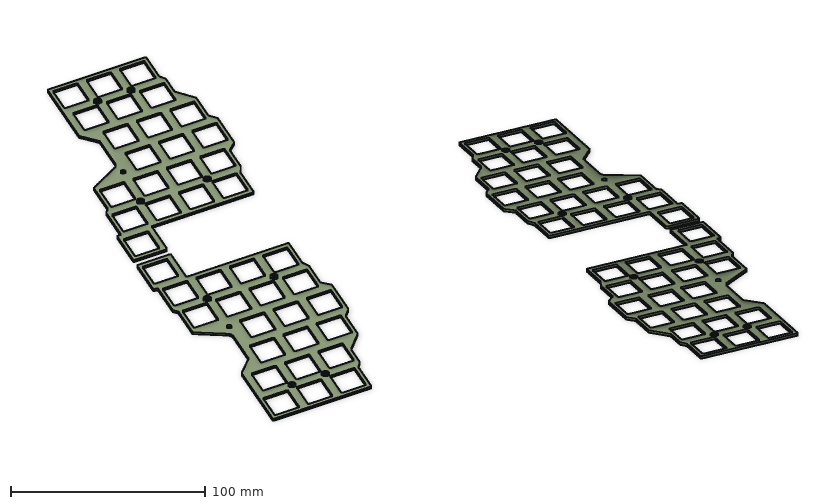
import cadquery as cq

overall_width = 269.2
overall_depth = 84.3
thickness = 1.5
halves_gap = 4.0

cutout_size = 14.0
corner_radius = 0.5
column_span = 114.1
columns = 6
key_pitch = column_span / columns
side_margin = 2.2
edge_margin = 2.05

column_rows = [3, 3, 3, 3, 4, 4]
second_column_drop = 11.5
outer_column_step = 2.3
column_drop = [second_column_drop + outer_column_step, second_column_drop, 3.5, 0.0, 4.5, 6.7]

back_slopes = [(-118.7, -115.8), (-105.3, -96.5), (-81.8, -78.0), (-58.1, -54.0), (-40.6, -37.0)]
inner_side_x = -20.7
thumb_back_y = -23.0
thumb_step_x = -21.8
front_slope = (-39.8, -42.0)
notch_y = -20.0
notch_inner_foot_x = -59.0
notch_bend = (-68.0, -21.0)
notch_inner_x = -70.0
notch_outer_x = -88.8
notch_outer_foot_x = -97.0

screw_head_diameter = 4.0
screw_hole_diameter = 2.0
screw_head_depth = thickness / 2
screw_places = [(0, 0), (0, 1), (4, 0), (4, 2)]
plain_hole_diameter = 2.6
plain_hole_centre = (-63.3, -18.8)

outer_x = -overall_width / 2
inner_x = -halves_gap / 2
back_y = overall_depth / 2
front_y = -overall_depth / 2

cutout_to_border = cutout_size / 2 + edge_margin
first_column_x = outer_x + side_margin + cutout_size / 2
column_x = [first_column_x + index * key_pitch for index in range(columns)]
column_y = [back_y - cutout_to_border - drop for drop in column_drop]
thumb_key = (first_column_x + column_span, front_y + cutout_to_border)

column_back = [y + cutout_to_border for y in column_y]
column_front = [
    y - (rows - 1) * key_pitch - cutout_to_border for y, rows in zip(column_y, column_rows)
]


def back_edge():
    """Back border from the outer side inwards, one slope between each pair of columns."""
    points = [(outer_x, column_back[0])]
    for index, (start_x, end_x) in enumerate(back_slopes):
        points.append((start_x, column_back[index]))
        points.append((end_x, column_back[index + 1]))
    points.append((inner_side_x, column_back[-1]))
    return points


def thumb_edge():
    """Border around the thumb key, from the back to the front."""
    return [
        (inner_side_x, thumb_back_y),
        (inner_x, thumb_back_y),
        (inner_x, front_y),
        (thumb_step_x, front_y),
    ]


def front_edge():
    """Front border from the thumb key outwards, including the notch."""
    return [
        (thumb_step_x, column_front[5]),
        (front_slope[0], column_front[5]),
        (front_slope[1], column_front[4]),
        (notch_inner_foot_x, column_front[4]),
        notch_bend,
        (notch_inner_x, notch_y),
        (notch_outer_x, notch_y),
        (notch_outer_foot_x, column_front[0]),
        (outer_x, column_front[0]),
    ]


def blank_plate():
    border = back_edge() + thumb_edge() + front_edge()
    plate = cq.Workplane("XY").polyline(border).close().extrude(thickness)
    return plate.edges("|Z").fillet(corner_radius)


def key_centres():
    centres = [thumb_key]
    for x, back_key_y, rows in zip(column_x, column_y, column_rows):
        centres += [(x, back_key_y - row * key_pitch) for row in range(rows)]
    return centres


def key_cutouts():
    blocks = (
        cq.Workplane("XY")
        .pushPoints(key_centres())
        .rect(cutout_size, cutout_size)
        .extrude(thickness)
    )
    return blocks.edges("|Z").fillet(corner_radius)


def screw_centre(column, row):
    """Midpoint between four keys: this column and the next, this row and the next."""
    x = (column_x[column] + column_x[column + 1]) / 2
    y = (column_y[column] + column_y[column + 1]) / 2 - (row + 0.5) * key_pitch
    return (x, y)


def half_plate():
    """Left half of the switch plate with its key cutouts and mounting holes."""
    plate = blank_plate().cut(key_cutouts())
    top = cq.Workplane("XY", origin=(0, 0, thickness))
    screw_centres = [screw_centre(column, row) for column, row in screw_places]
    plate = (
        plate.copyWorkplane(top)
        .pushPoints(screw_centres)
        .cboreHole(screw_hole_diameter, screw_head_diameter, screw_head_depth)
    )
    return plate.copyWorkplane(top).pushPoints([plain_hole_centre]).hole(plain_hole_diameter)


left_plate = half_plate()
right_plate = left_plate.mirror("YZ")

result = cq.Compound.makeCompound([left_plate.val(), right_plate.val()])